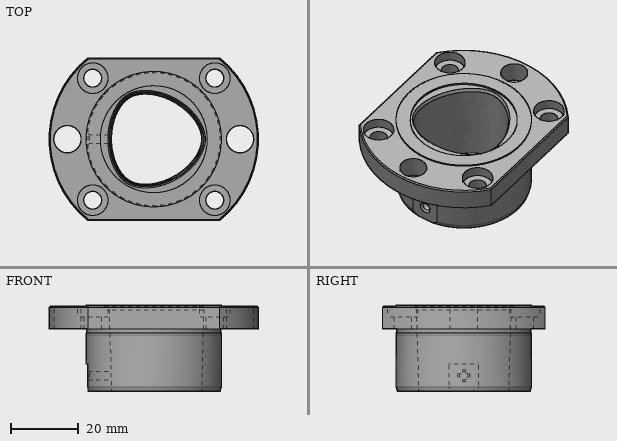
import cadquery as cq
import math

total_height = 25.5
boss_height = 0.4
flange_top = total_height - boss_height
flange_bottom = 18.5
body_top = 16.6
neck_bottom = 17.25

flange_diameter = 61.8
flange_width = 48.0
flange_chamfer = 0.4

body_diameter = 40.0
neck_diameter = 39.6
neck_fillet = 0.1
body_chamfer_height = 1.35
body_chamfer_width = 0.4

pitch_radius = 25.45
pin_hole_diameter = 8.0
screw_hole_diameter = 5.2
counterbore_diameter = 9.0
counterbore_depth = 3.15

recess_diameter = 31.6
recess_depth = 0.55
lobe_height = 0.835
mouth_radius = 14.4
throat_radius = 13.95
exit_radius = 13.3
lead_in_depth = 1.0
lobe_points = 48

flat_width = 8.8
flat_height = 8.05
flat_distance = 19.45
radial_hole_diameter = 2.5
radial_hole_height = 4.65
countersink_diameter = 3.6


def make_flange():
    """Disc with two parallel flats and a chamfered top edge."""
    thickness = flange_top - flange_bottom
    disc = cq.Workplane("XY").workplane(offset=flange_bottom).circle(flange_diameter / 2).extrude(thickness)
    slab = cq.Workplane("XY").box(flange_diameter, flange_width, 2 * total_height)
    return disc.intersect(slab).faces(">Z").edges().chamfer(flange_chamfer)


def make_body():
    """Turned core: chamfered body, neck with filleted corners under the flange and low boss above it."""
    body_radius = body_diameter / 2
    neck_radius = neck_diameter / 2
    ledge_radius = neck_radius + neck_fillet
    fillet_bottom = neck_bottom + neck_fillet
    fillet_top = flange_bottom - neck_fillet
    arc_inset = neck_fillet * (1 - math.sqrt(0.5))
    arc_radius = neck_radius + arc_inset
    return (
        cq.Workplane("XZ")
        .lineTo(body_radius - body_chamfer_width, 0)
        .lineTo(body_radius, body_chamfer_height)
        .lineTo(body_radius, body_top)
        .lineTo(ledge_radius, neck_bottom)
        .threePointArc((arc_radius, neck_bottom + arc_inset), (neck_radius, fillet_bottom))
        .lineTo(neck_radius, fillet_top)
        .threePointArc((arc_radius, flange_bottom - arc_inset), (ledge_radius, flange_bottom))
        .lineTo(ledge_radius, flange_top)
        .lineTo(body_radius, flange_top)
        .lineTo(body_radius, total_height)
        .lineTo(0, total_height)
        .close()
        .revolve(360, (0, 0), (0, 1))
    )


def lobed_point(mean_radius, angle):
    """Point on a constant-width curve with three lobes, one of them on +X."""
    support = mean_radius + lobe_height * math.cos(3 * angle)
    slope = -3 * lobe_height * math.sin(3 * angle)
    x = support * math.cos(angle) - slope * math.sin(angle)
    y = support * math.sin(angle) + slope * math.cos(angle)
    return (x, y)


def lobed_wire(mean_radius, height):
    points = [lobed_point(mean_radius, 2 * math.pi * i / lobe_points) for i in range(lobe_points)]
    return cq.Workplane("XY").workplane(offset=height).spline(points, periodic=True).close().val()


def lobed_cutter(bottom_radius, bottom, top_radius, top):
    wires = [lobed_wire(bottom_radius, bottom), lobed_wire(top_radius, top)]
    return cq.Workplane(cq.Solid.makeLoft(wires, True))


def cut_bore(part):
    """Shallow round recess, lobed lead-in and lobed taper through to the bottom."""
    recess_floor = total_height - recess_depth
    throat = recess_floor - lead_in_depth
    recess = cq.Workplane("XY").workplane(offset=recess_floor).circle(recess_diameter / 2).extrude(recess_depth)
    lead_in = lobed_cutter(throat_radius, throat, mouth_radius, recess_floor)
    taper = lobed_cutter(exit_radius, 0, throat_radius, throat)
    return part.cut(recess).cut(lead_in).cut(taper)


def cylinders_down(points, diameter, depth):
    """Cylinders reaching down from the top face of the flange."""
    top = cq.Workplane("XY").workplane(offset=flange_top)
    return top.pushPoints(points).circle(diameter / 2).extrude(-depth)


def cut_flange_holes(part):
    """Two plain pin holes on the X axis and four counterbored holes on the diagonals."""
    diagonal = pitch_radius / math.sqrt(2)
    corners = [(x, y) for x in (-diagonal, diagonal) for y in (-diagonal, diagonal)]
    pins = [(-pitch_radius, 0), (pitch_radius, 0)]
    flange_thickness = flange_top - flange_bottom
    part = part.cut(cylinders_down(pins, pin_hole_diameter, flange_thickness))
    part = part.cut(cylinders_down(corners, screw_hole_diameter, flange_thickness))
    return part.cut(cylinders_down(corners, counterbore_diameter, counterbore_depth))


def cut_flat_and_radial_hole(part):
    """Flat open to the bottom face, with a countersunk hole from it into the bore."""
    flat_depth = body_diameter / 2 - flat_distance
    flat = cq.Workplane("XY").box(flat_depth, flat_width, flat_height, centered=(False, True, False))
    part = part.cut(flat.translate((-body_diameter / 2, 0, 0)))
    start = cq.Vector(-flat_distance, 0, radial_hole_height)
    inward = cq.Vector(1, 0, 0)
    hole_radius = radial_hole_diameter / 2
    sink_radius = countersink_diameter / 2
    hole = cq.Solid.makeCylinder(hole_radius, flat_distance, start, inward)
    countersink = cq.Solid.makeCone(sink_radius, hole_radius, sink_radius - hole_radius, start, inward)
    return part.cut(cq.Workplane(hole)).cut(cq.Workplane(countersink))


result = make_flange().union(make_body())
result = cut_bore(result)
result = cut_flange_holes(result)
result = cut_flat_and_radial_hole(result)